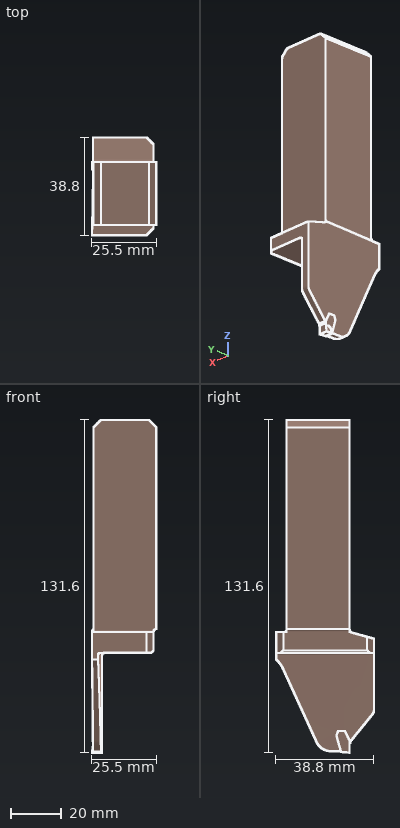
import cadquery as cq
import math

overall_height = 131.6
shank_width = 25.0
shank_half = shank_width / 2
shank_bottom = 48.9
shank_top_chamfer = 3.0

right_step = 1.1
head_top = shank_bottom - right_step
block_bottom = 39.5
left_step = 0.52
head_left = -shank_half - left_step
head_right = shank_half - right_step
head_depth = 38.75
front_overhang = 4.05
head_front = -shank_half - front_overhang
head_back = head_front + head_depth
block_corner_chamfer = 2.8
block_bottom_chamfer = 1.0
left_cove_radius = 1.4
front_cove_radius = 0.6
back_cove_radius = 1.2
blade_root_radius = 1.0

edge_y = shank_half
blade_reach = 4.05
left_sag = 0.42
blade_right = head_left + blade_reach
blade_left = head_left + left_sag
blade_right_radius = 440.0
front_flat = 1.75
back_flat = 0.35

back_top = 45.1
back_bottom = 16.0
back_corner_radius = 3.0
front_bottom = 36.8
flank_top_y = -13.9
flank_top = 33.2
flank_angle = math.radians(24.6)
blade_bottom = 0.55
flank_curve_sag = 0.25
nose_radius = 6.4
lip_overhang = 0.35
lip_y = edge_y + lip_overhang
lip_top = 4.5
lip_bottom = 3.8

insert_outline = [
    (edge_y, 0),
    (edge_y, 4.7),
    (10.6, 8.6),
    (7.9, 8.6),
    (7.25, 6.8),
    (9.1, 0.25),
]
tip_length = 3.0
tip_height = 3.1
tip_corner_radius = 2.0


def circle_x(x_crest, radius, y_crest, y):
    """X at a given y of a large arc that crests towards +X at (x_crest, y_crest)."""
    return x_crest - radius + math.sqrt(radius**2 - (y - y_crest) ** 2)


left_arc_front = head_front + front_flat
left_arc_back = head_back - back_flat
left_radius = ((left_arc_front - edge_y) ** 2 + left_sag**2) / (2 * left_sag)
left_back_x = circle_x(blade_left, left_radius, edge_y, left_arc_back)


def left_face(start):
    """Continue a plan outline down the concave left face, from the back to the front."""
    return (
        start.lineTo(left_back_x, head_back)
        .lineTo(left_back_x, left_arc_back)
        .threePointArc((blade_left, edge_y), (head_left, left_arc_front))
        .lineTo(head_left, head_front)
    )


def block_plan():
    start = (
        cq.Workplane("XY")
        .moveTo(head_right - block_corner_chamfer, head_front)
        .lineTo(head_right, head_front + block_corner_chamfer)
        .lineTo(head_right, head_back - block_corner_chamfer)
        .lineTo(head_right - block_corner_chamfer, head_back)
    )
    return left_face(start).close()


def right_face_point(y):
    return circle_x(blade_right, blade_right_radius, head_back, y), y


def blade_plan():
    start = (
        cq.Workplane("XY")
        .moveTo(*right_face_point(head_front))
        .threePointArc(right_face_point(0), right_face_point(head_back))
    )
    return left_face(start).close()


def across(profile):
    """Extrude a YZ profile through the full width of the head."""
    return profile.extrude(2 * shank_width, both=True)


def head_side():
    """Side outline of the head, with the back corner and the nose rounded."""
    nose_y = flank_top_y + (flank_top - blade_bottom) * math.tan(flank_angle)
    flank_curve_y = (head_front + flank_top_y) / 2 + flank_curve_sag * math.sqrt(0.5)
    flank_curve_z = (front_bottom + flank_top) / 2 + flank_curve_sag * math.sqrt(0.5)
    outline = across(
        cq.Workplane("YZ")
        .moveTo(head_front, head_top)
        .lineTo(edge_y, head_top)
        .lineTo(head_back, back_top)
        .lineTo(head_back, back_bottom)
        .lineTo(lip_y, lip_top)
        .lineTo(lip_y, lip_bottom)
        .lineTo(edge_y, lip_bottom)
        .lineTo(edge_y, blade_bottom)
        .lineTo(nose_y, blade_bottom)
        .lineTo(flank_top_y, flank_top)
        .threePointArc((flank_curve_y, flank_curve_z), (head_front, front_bottom))
        .close()
    )
    outline = outline.edges(cq.selectors.NearestToPointSelector((0, head_back, back_bottom)))
    outline = outline.fillet(back_corner_radius)
    outline = outline.edges(cq.selectors.NearestToPointSelector((0, nose_y, blade_bottom)))
    return outline.fillet(nose_radius)


def make_head():
    block = block_plan().extrude(head_top - block_bottom)
    block = block.faces(">X").edges("<Z").chamfer(block_bottom_chamfer)
    block = block.translate((0, 0, block_bottom))
    head = block.union(blade_plan().extrude(head_top))
    root = (*right_face_point((head_front + head_back) / 2), block_bottom)
    head = head.edges(cq.selectors.NearestToPointSelector(root)).fillet(blade_root_radius)
    return head.intersect(head_side())


def make_shank():
    shank = (
        cq.Workplane("XY", origin=(0, 0, shank_bottom))
        .rect(shank_width, shank_width)
        .extrude(overall_height - shank_bottom)
    )
    return shank.faces(">Z").edges("|Y").chamfer(shank_top_chamfer)


def side_neck():
    """Neck between head and shank, with a cove on its left and right sides."""
    half_angle = math.acos(1 - left_step / left_cove_radius) / 2
    left_drop = left_cove_radius * math.sin(2 * half_angle)
    left_cove_middle = (
        -shank_half - left_cove_radius * (1 - math.cos(half_angle)),
        shank_bottom - left_cove_radius * math.sin(half_angle),
    )
    diagonal = right_step * math.sqrt(0.5)
    right_cove_middle = (shank_half - diagonal, head_top + diagonal)
    return (
        cq.Workplane("XZ")
        .moveTo(-shank_half, shank_bottom)
        .threePointArc(left_cove_middle, (head_left, shank_bottom - left_drop))
        .lineTo(head_left, head_top)
        .lineTo(head_right, head_top)
        .threePointArc(right_cove_middle, (shank_half, shank_bottom))
        .close()
        .extrude(shank_half, both=True)
    )


def face_cove(side, slope, radius):
    """Cove from the front (-1) or back (1) shank face onto a ledge that falls away at an angle."""
    centre_y = shank_half + radius
    centre_z = head_top - radius * math.tan(slope) + radius / math.cos(slope)
    middle_angle = (math.pi / 2 - slope) / 2
    middle = (centre_y - radius * math.cos(middle_angle), centre_z - radius * math.sin(middle_angle))
    end = (centre_y - radius * math.sin(slope), centre_z - radius * math.cos(slope))
    cove = (
        cq.Workplane("YZ", origin=(head_left, 0, 0))
        .moveTo(shank_half, centre_z)
        .threePointArc(middle, end)
        .lineTo(shank_half, head_top)
        .close()
        .extrude(head_right - head_left)
    )
    return cove if side > 0 else cove.mirror("XZ")


def insert_side():
    """Side outline of the whole insert, with the cutting edge at its lower back corner."""
    return across(cq.Workplane("YZ").polyline(insert_outline).close())


def make_insert():
    side = insert_side()
    body = blade_plan().extrude(head_top).intersect(side)
    tip_area = (
        cq.Workplane("YZ")
        .moveTo(edge_y, 0)
        .lineTo(edge_y, tip_height)
        .lineTo(edge_y - tip_length + tip_corner_radius, tip_height)
        .radiusArc((edge_y - tip_length, tip_height - tip_corner_radius), -tip_corner_radius)
        .lineTo(edge_y - tip_length, 0)
        .close()
    )
    middle_x = (blade_left + blade_right) / 2
    flare = (
        cq.Workplane("XZ")
        .polyline([(head_left, 0), (blade_left, tip_height), (middle_x, tip_height), (middle_x, 0)])
        .close()
        .extrude(shank_width, both=True)
    )
    return body.union(flare.intersect(across(tip_area)).intersect(side))


def make_holder():
    back_slope = math.atan2(head_top - back_top, head_back - edge_y)
    column = block_plan().extrude(overall_height)
    right_side = cq.Workplane("XY").box(
        shank_width, shank_width, overall_height, centered=(False, True, False)
    )
    neck = side_neck().intersect(column.union(right_side))
    holder = make_head().union(neck).union(make_shank())
    for side, slope, radius in ((-1, 0.0, front_cove_radius), (1, back_slope, back_cove_radius)):
        holder = holder.union(face_cove(side, slope, radius).intersect(column))
    return holder.cut(insert_side())


holder = make_holder()
insert = make_insert()
result = cq.Compound.makeCompound([holder.solids().val(), insert.solids().val()])